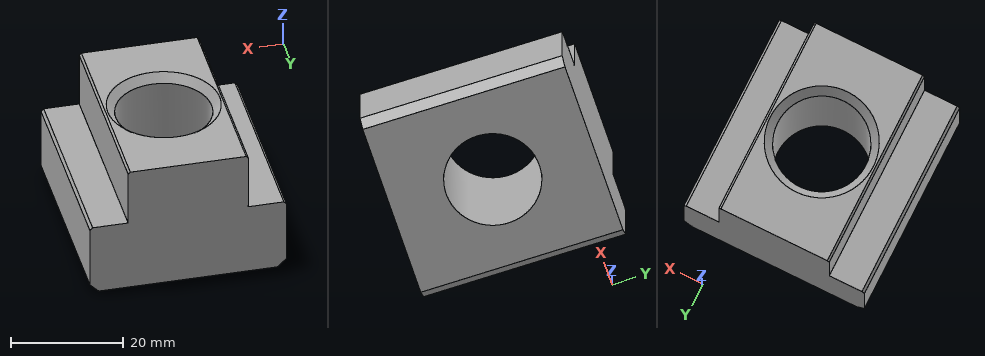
import cadquery as cq

length = 38.0

flange_width = 36.0
flange_height = 14.0
flange_bottom_chamfer = 1.6
flange_top_chamfer = 0.5

neck_width = 22.0
total_height = 25.0
neck_top_chamfer = 0.4

hole_diameter = 17.5
countersink_diameter = 20.5
countersink_depth = (countersink_diameter - hole_diameter) / 2


def t_body():
    """Extruded T profile with its outer corners chamfered."""
    half_flange = flange_width / 2
    half_neck = neck_width / 2
    profile = (
        cq.Workplane("XZ")
        .moveTo(0, 0)
        .lineTo(half_flange - flange_bottom_chamfer, 0)
        .lineTo(half_flange, flange_bottom_chamfer)
        .lineTo(half_flange, flange_height - flange_top_chamfer)
        .lineTo(half_flange - flange_top_chamfer, flange_height)
        .lineTo(half_neck, flange_height)
        .lineTo(half_neck, total_height - neck_top_chamfer)
        .lineTo(half_neck - neck_top_chamfer, total_height)
        .lineTo(0, total_height)
        .mirrorY()
    )
    return profile.extrude(length / 2, both=True)


def countersunk_hole():
    """Cutting tool for the through hole and its countersink."""
    hole = cq.Workplane("XY").circle(hole_diameter / 2).extrude(total_height)
    countersink = (
        cq.Workplane("XY")
        .workplane(offset=total_height - countersink_depth)
        .circle(hole_diameter / 2)
        .workplane(offset=countersink_depth)
        .circle(countersink_diameter / 2)
        .loft(ruled=True)
    )
    return hole.union(countersink)


result = t_body().cut(countersunk_hole())